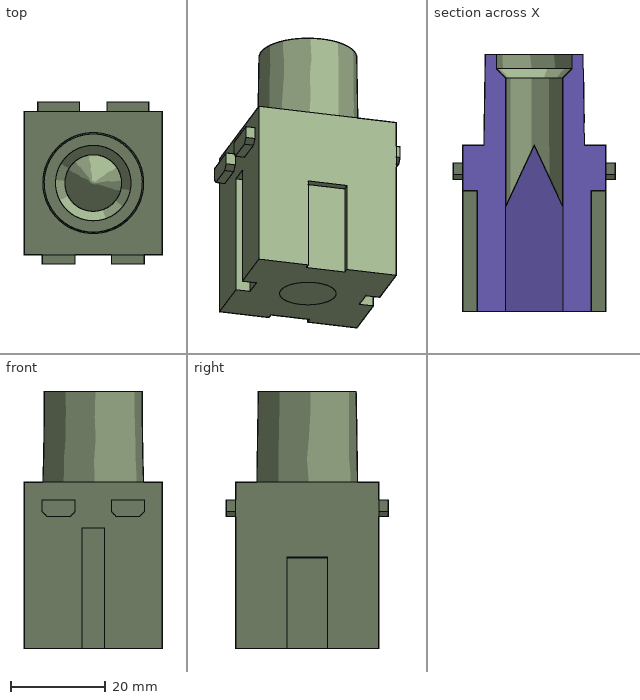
import cadquery as cq
import math

block_width = 29.35
block_depth = 30.4
block_height = 35.3

lug_reach = 2.0
lug_height = 3.6
lug_corner = 1.1
lug_top_z = block_height - 3.75
lug_spacing = block_width / 2
front_lug_width = 7.0
back_lug_width = 8.9

y_slot_width = 4.75
y_slot_height = 25.6
y_slot_depth = 3.1
x_slot_width = 8.5
x_slot_height = 19.4
x_slot_depth = 1.45
x_slot_roof_drop = 0.2

overall_height = 54.5
sleeve_base_radius = 10.7
sleeve_top_radius = 10.4

bore_radius = 6.0
counterbore_radius = 8.0
counterbore_depth = 3.0
countersink_depth = counterbore_radius - bore_radius

tip_angle = 50
tip_height = bore_radius / math.tan(math.radians(tip_angle / 2))
pin_shoulder_z = block_height - tip_height


def lug(width, centre_x, side):
    """Lug with cut lower corners; side is -1 for the front face, +1 for the back face."""
    half_width = width / 2
    lug_bottom_z = lug_top_z - lug_height
    face_y = side * block_depth / 2
    return (
        cq.Workplane("XZ", origin=(centre_x, face_y, 0))
        .moveTo(-half_width, lug_top_z)
        .lineTo(half_width, lug_top_z)
        .lineTo(half_width, lug_bottom_z + lug_corner)
        .lineTo(half_width - lug_corner, lug_bottom_z)
        .lineTo(-half_width + lug_corner, lug_bottom_z)
        .lineTo(-half_width, lug_bottom_z + lug_corner)
        .close()
        .extrude(-side * lug_reach)
    )


def y_slot(side):
    """Upright slot in the middle of a Y face."""
    centre_y = side * (block_depth - y_slot_depth) / 2
    return (
        cq.Workplane("XY")
        .box(y_slot_width, y_slot_depth, y_slot_height, centered=(True, True, False))
        .translate((0, centre_y, 0))
    )


def x_slot(side):
    """Wide shallow slot in the middle of an X face, its roof sloping down inwards."""
    face_x = side * block_width / 2
    floor_x = face_x - side * x_slot_depth
    return (
        cq.Workplane("XZ")
        .moveTo(face_x, 0)
        .lineTo(face_x, x_slot_height)
        .lineTo(floor_x, x_slot_height - x_slot_roof_drop)
        .lineTo(floor_x, 0)
        .close()
        .extrude(x_slot_width / 2, both=True)
    )


def turned(profile):
    """Solid of revolution about the Z axis from the (radius, z) points of its half section."""
    points = [(-radius, z) for radius, z in profile]
    return cq.Workplane("YZ").polyline(points).close().revolve(360, (0, 0, 0), (0, 1, 0))


def sleeve():
    return turned(
        [
            (0, block_height),
            (sleeve_base_radius, block_height),
            (sleeve_top_radius, overall_height),
            (0, overall_height),
        ]
    )


def stepped_bore():
    countersink_top_z = overall_height - counterbore_depth
    return turned(
        [
            (0, 0),
            (bore_radius, 0),
            (bore_radius, countersink_top_z - countersink_depth),
            (counterbore_radius, countersink_top_z),
            (counterbore_radius, overall_height),
            (0, overall_height),
        ]
    )


def make_housing():
    body = cq.Workplane("XY").box(
        block_width, block_depth, block_height, centered=(True, True, False)
    )
    for side, lug_width in ((-1, front_lug_width), (1, back_lug_width)):
        for centre_x in (-lug_spacing / 2, lug_spacing / 2):
            body = body.union(lug(lug_width, centre_x, side))
        body = body.cut(y_slot(side))
        body = body.cut(x_slot(side))
    return body.union(sleeve()).cut(stepped_bore())


def make_contact_pin():
    return turned(
        [
            (0, 0),
            (bore_radius, 0),
            (bore_radius, pin_shoulder_z),
            (0, pin_shoulder_z + tip_height),
        ]
    )


housing = make_housing()
contact_pin = make_contact_pin()

result = cq.Compound.makeCompound([housing.val(), contact_pin.val()])